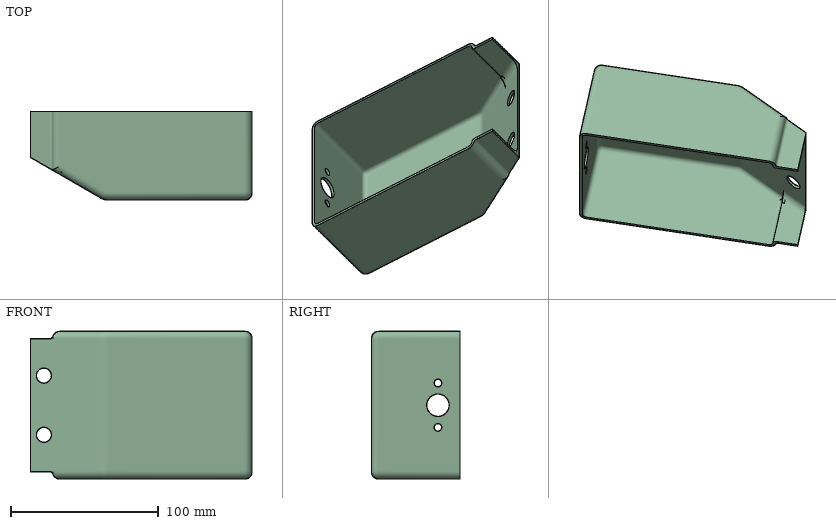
import cadquery as cq
import math

length = 150.0
depth = 60.0
height = 100.0
wall = 2.0

slope_angle = math.radians(30)
slope_end_x = 50.0
bend_radius = 10.0

step_height = 5.0
step_x = 15.0
edge_radius = 5.0
step_root_radius = 2.0
mouth_inner_radius = 5.0

panel_hole_diameter = 10.0
panel_hole_x = 9.2
panel_hole_spacing = 40.0

end_hole_y = 45.0
end_hole_diameter = 15.0
end_screw_diameter = 5.0
end_screw_spacing = 30.0

mouth_height = height - 2 * step_height
mouth_body_end_x = length / 2


def panel_y(x, inset):
    """Y of the sloped panel plane at x, moved inward by inset."""
    return (slope_end_x - x) * math.tan(slope_angle) + inset / math.cos(slope_angle)


def plan_prism(start_x, end_x, total_height, inset):
    """Prism with the sloped-front plan, centred on Z = 0."""
    bend_x = slope_end_x + inset * math.tan(slope_angle / 2)
    outline = [
        (start_x, depth),
        (start_x, panel_y(start_x, inset)),
        (bend_x, inset),
        (end_x, inset),
        (end_x, depth),
    ]
    prism = cq.Workplane("XY").polyline(outline).close().extrude(total_height / 2, both=True)
    bend_edge = cq.selectors.NearestToPointSelector((bend_x, inset, 0))
    return prism.edges(bend_edge).fillet(bend_radius - inset)


def main_body(inset):
    """Full-height body with rounded upper and lower rims and a rounded front corner."""
    end_x = length - inset
    radius = edge_radius - inset
    body = plan_prism(step_x + inset, end_x, height - 2 * inset, inset)
    corner_edge = cq.selectors.NearestToPointSelector((end_x, inset, 0))
    body = body.edges(corner_edge).fillet(radius)
    return body.faces("|Z").edges("not(>Y)").fillet(radius)


def mouth_body(inset):
    """Narrow body that forms the mouth and runs on inside the main body."""
    return plan_prism(0, mouth_body_end_x, mouth_height - 2 * inset, inset)


def step_root(inset):
    """Fillets of one radius, inside and out, where the step meets the mouth, above and below."""
    radius = step_root_radius
    base_z = mouth_height / 2 - inset
    round_x = step_x + edge_radius
    round_z = height / 2 - edge_radius
    round_radius = edge_radius - inset
    arc_z = base_z + radius
    center_distance = radius + round_radius
    arc_x = round_x - math.sqrt(center_distance**2 - (arc_z - round_z) ** 2)

    share = radius / center_distance
    tangent_x = arc_x + share * (round_x - arc_x)
    tangent_z = arc_z + share * (round_z - arc_z)
    middle_angle = (math.atan2(tangent_z - arc_z, tangent_x - arc_x) - math.pi / 2) / 2
    middle = (arc_x + radius * math.cos(middle_angle), arc_z + radius * math.sin(middle_angle))
    upper = (
        cq.Workplane("XZ", origin=(0, depth, 0))
        .moveTo(arc_x, base_z)
        .threePointArc(middle, (tangent_x, tangent_z))
        .lineTo(tangent_x, base_z)
        .close()
        .extrude(depth)
    )
    behind_panel = plan_prism(0, length, height, inset)
    upper = upper.intersect(behind_panel)
    return upper.union(upper.mirror("XY"))


def outer_form():
    """Solid outside shape of the cover."""
    return mouth_body(0).union(main_body(0)).union(step_root(0))


def inner_form():
    """Solid cavity, one wall thickness inside the outer shape."""
    mouth = mouth_body(wall)
    mouth = mouth.faces("|Z").edges("not(>X or <X or >Y)").fillet(mouth_inner_radius)
    return mouth.union(main_body(wall)).union(step_root(wall))


def end_wall_drill(diameter, z):
    """Cylinder along X that passes through the end wall only."""
    return (
        cq.Workplane("YZ", origin=(mouth_body_end_x, 0, 0))
        .center(end_hole_y, z)
        .circle(diameter / 2)
        .extrude(length)
    )


def panel_holes():
    """Two holes through the sloped panel."""
    return (
        cq.Workplane("XZ", origin=(0, depth, 0))
        .pushPoints([(panel_hole_x, side * panel_hole_spacing / 2) for side in (-1, 1)])
        .circle(panel_hole_diameter / 2)
        .extrude(depth)
    )


def end_holes():
    """Large central hole with a screw hole above and below it."""
    holes = end_wall_drill(end_hole_diameter, 0)
    for side in (-1, 1):
        holes = holes.union(end_wall_drill(end_screw_diameter, side * end_screw_spacing / 2))
    return holes


result = outer_form().cut(inner_form()).cut(panel_holes()).cut(end_holes())